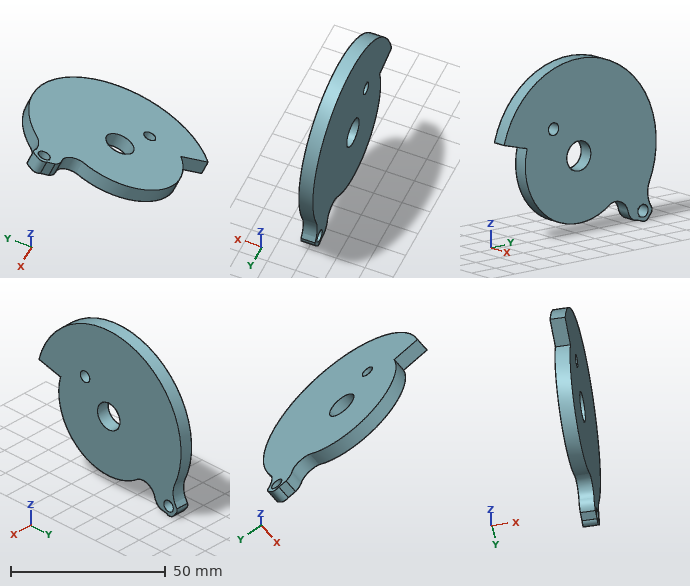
import cadquery as cq
import math

thickness = 5.0
overall_width = 63.75
step_angle = 15.0
small_radius = 22.45
bore_diameter = 10.0
pin_diameter = 4.2
pin_circle_radius = 15.0
pin_angle = 45.0
lug_hole_radius = 35.05
lug_hole_angle = 220.0
large_rim_end_angle = 205.5
small_rim_end_angle = 234.0

large_radius = overall_width / (1 + math.cos(math.radians(step_angle)))


def polar(radius, angle):
    """Point at a given distance and angle in degrees from the bore axis."""
    a = math.radians(angle)
    return (radius * math.cos(a), radius * math.sin(a))


large_neck_middle = (-28.9, -17.1)
large_neck_end = (-29.65, -20.35)
outer_corner_start = (-30.6, -22.0)
outer_corner_middle = (-30.7, -22.75)
outer_corner_end = (-30.4, -23.6)
bottom_corner_start = (-28.8, -25.55)
bottom_corner_middle = (-27.5, -26.15)
bottom_corner_end = (-26.0, -25.7)
shoulder_start = (-23.0, -25.05)
shoulder_middle = (-21.3, -23.4)
shoulder_end = (-20.5, -21.5)
small_neck_middle = (-18.5, -18.6)


face = cq.Plane(origin=(0, 0, 0), xDir=(0, -1, 0), normal=(-1, 0, 0))


def make_plate():
    """Stepped cam disc with the lug as part of its outline."""
    large_rim_middle = (step_angle + large_rim_end_angle) / 2
    small_rim_middle = (small_rim_end_angle + step_angle + 360) / 2
    return (
        cq.Workplane(face)
        .moveTo(*polar(small_radius, step_angle))
        .lineTo(*polar(large_radius, step_angle))
        .threePointArc(polar(large_radius, large_rim_middle), polar(large_radius, large_rim_end_angle))
        .threePointArc(large_neck_middle, large_neck_end)
        .lineTo(*outer_corner_start)
        .threePointArc(outer_corner_middle, outer_corner_end)
        .lineTo(*bottom_corner_start)
        .threePointArc(bottom_corner_middle, bottom_corner_end)
        .lineTo(*shoulder_start)
        .threePointArc(shoulder_middle, shoulder_end)
        .threePointArc(small_neck_middle, polar(small_radius, small_rim_end_angle))
        .threePointArc(polar(small_radius, small_rim_middle), polar(small_radius, step_angle))
        .close()
        .extrude(-thickness)
    )


def make_hole(center, diameter):
    """Cylinder that cuts a hole through the full thickness."""
    return cq.Workplane(face).center(*center).circle(diameter / 2).extrude(-thickness)


result = make_plate()
holes = [
    ((0, 0), bore_diameter),
    (polar(pin_circle_radius, pin_angle), pin_diameter),
    (polar(lug_hole_radius, lug_hole_angle), pin_diameter),
]
for center, diameter in holes:
    result = result.cut(make_hole(center, diameter))